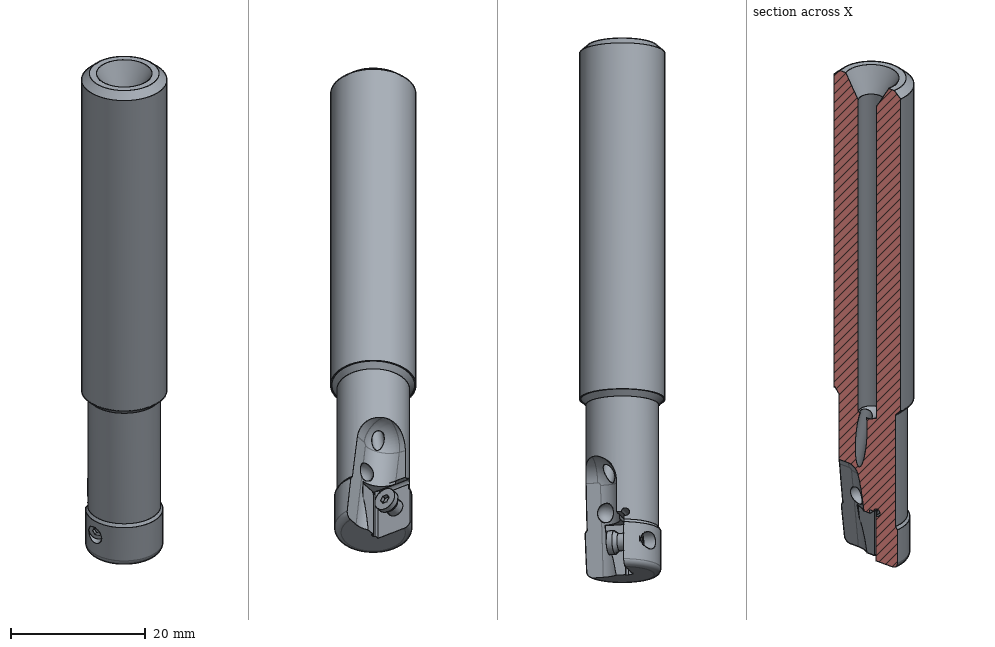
import cadquery as cq
import math

total_length = 81.0
shank_diameter = 12.7
shank_radius = shank_diameter / 2
shank_bottom = 26.9
shoulder_radius = 6.15
shoulder_height = 0.9
neck_radius = 5.4
collar_radius = 5.75
collar_height = 6.65
collar_taper_height = 0.5
bottom_fillet = 1.0
end_chamfer_height = 1.05
end_face_radius = 5.2

mouth_radius = 4.1
bore_radius = 1.95
mouth_depth = 3.8
bore_bottom = 24.3
drill_point_angle = 118.0
duct_radius = 1.0
duct_overlap = 0.4
duct_start = cq.Vector(0, 0.7, bore_bottom + duct_overlap)
duct_end = cq.Vector(-2.4, 1.8, 12.6)

gullet_top = 17.8
gullet_wall_y = -0.5
gullet_corner_radius = 4.05
gullet_floor_radius = 3.65
gullet_floor_x = 1.0
gullet_tilt = 7.0
cut_reach = 16.2

seat_y = -1.6
pocket_wall_x = 0.25
pocket_bottom_y = 1.8
pocket_top_y = 2.7
pocket_top = 7.7
relief_radius = 0.6
relief_y = -1.8
relief_z = 8.3
undercut_top_y = -0.4
undercut_width = 0.5
undercut_depth = 0.3
dimple_radius = 1.5
dimple_y = 2.3
dimple_z = 9.6

screw_x = -2.9
screw_z = 4.2
screw_radius = 1.3
screw_head_radius = 1.8
screw_head_top = 1.3
screw_head_height = 0.9
screw_cone_height = 0.65
screw_end_y = -3.7
socket_sides = 6
socket_width = 1.45
socket_depth = 0.65


def make_blank():
    """Stepped round bar, revolved about Z."""
    profile = (
        cq.Workplane("XZ")
        .moveTo(0, 0)
        .lineTo(collar_radius, 0)
        .lineTo(collar_radius, collar_height)
        .lineTo(neck_radius, collar_height + collar_taper_height)
        .lineTo(neck_radius, shank_bottom - shoulder_height)
        .lineTo(shoulder_radius, shank_bottom)
        .lineTo(shank_radius, shank_bottom)
        .lineTo(shank_radius, total_length - end_chamfer_height)
        .lineTo(end_face_radius, total_length)
        .lineTo(0, total_length)
        .close()
    )
    blank = profile.revolve(360, (0, 0, 0), (0, 1, 0))
    return blank.faces("<Z").edges().fillet(bottom_fillet)


def make_coolant_passage():
    """Conical mouth and drilled bore, continued by a slanted duct into the gullet."""
    point_height = bore_radius / math.tan(math.radians(drill_point_angle / 2))
    bore = (
        cq.Workplane("XZ")
        .moveTo(0, total_length)
        .lineTo(mouth_radius, total_length)
        .lineTo(bore_radius, total_length - mouth_depth)
        .lineTo(bore_radius, bore_bottom)
        .lineTo(0, bore_bottom - point_height)
        .close()
        .revolve(360, (0, 0, 0), (0, 1, 0))
    )
    direction = duct_end - duct_start
    duct = cq.Solid.makeCylinder(duct_radius, direction.Length, duct_start, direction)
    return bore.union(cq.Workplane(obj=duct))


def make_gullet():
    """Tilted block, rounded along its end, side wall and floor."""
    block = (
        cq.Workplane("XY")
        .box(cut_reach, cut_reach, gullet_top + cut_reach, centered=False)
        .translate((gullet_floor_x - cut_reach, gullet_wall_y, -cut_reach))
    )
    block = block.edges("<Y and >Z").fillet(gullet_corner_radius)
    block = block.edges(">X and <Y").fillet(gullet_floor_radius)
    return block.rotate((gullet_floor_x, 0, 0), (gullet_floor_x, 1, 0), -gullet_tilt)


def make_insert_pocket():
    """Seat for the insert, with its wall undercut, corner relief and spherical dimple."""
    seat = (
        cq.Workplane("YZ", origin=(pocket_wall_x, 0, 0))
        .moveTo(seat_y, 0)
        .lineTo(pocket_bottom_y, 0)
        .lineTo(pocket_top_y, pocket_top)
        .lineTo(seat_y, pocket_top)
        .close()
        .extrude(-cut_reach)
    )
    undercut = (
        cq.Workplane("XY")
        .box(cut_reach, undercut_width, pocket_top, centered=False)
        .translate((
            pocket_wall_x + undercut_depth - cut_reach,
            undercut_top_y - undercut_width,
            0,
        ))
    )
    relief = (
        cq.Workplane("YZ", origin=(pocket_wall_x, relief_y, relief_z))
        .circle(relief_radius)
        .extrude(-cut_reach)
    )
    web = (
        cq.Workplane("XY")
        .box(cut_reach, gullet_wall_y - seat_y, relief_z - pocket_top, centered=False)
        .translate((pocket_wall_x - cut_reach, seat_y, pocket_top))
    )
    dimple = cq.Workplane("XY", origin=(pocket_wall_x, dimple_y, dimple_z)).sphere(dimple_radius)
    return seat.union(undercut).union(relief).union(web).union(dimple)


def make_screw_hole():
    """Hole from the seat out through the side of the collar."""
    return (
        cq.Workplane("XZ", origin=(screw_x, seat_y, screw_z))
        .circle(screw_radius)
        .extrude(cut_reach)
    )


def make_holder():
    holder = make_blank().cut(make_coolant_passage()).cut(make_gullet())
    holder = holder.cut(make_insert_pocket()).cut(make_screw_hole())
    return holder.solids()


def make_socket(y, depth):
    """Hexagonal prism starting at y; a positive depth runs towards -Y."""
    return (
        cq.Workplane("XZ", origin=(screw_x, y, screw_z))
        .polygon(socket_sides, socket_width)
        .extrude(depth)
    )


def make_screw():
    """Countersunk screw with a hexagonal socket in both ends."""
    cone_top = screw_head_top - screw_head_height
    screw = (
        cq.Workplane("XY", origin=(screw_x, 0, screw_z))
        .moveTo(0, screw_head_top)
        .lineTo(screw_head_radius, screw_head_top)
        .lineTo(screw_head_radius, cone_top)
        .lineTo(screw_radius, cone_top - screw_cone_height)
        .lineTo(screw_radius, screw_end_y)
        .lineTo(0, screw_end_y)
        .close()
        .revolve(360, (0, 0, 0), (0, 1, 0))
    )
    screw = screw.cut(make_socket(screw_head_top, socket_depth))
    return screw.cut(make_socket(screw_end_y, -socket_depth)).solids()


holder = make_holder()
screw = make_screw()
result = cq.Compound.makeCompound([holder.val(), screw.val()])